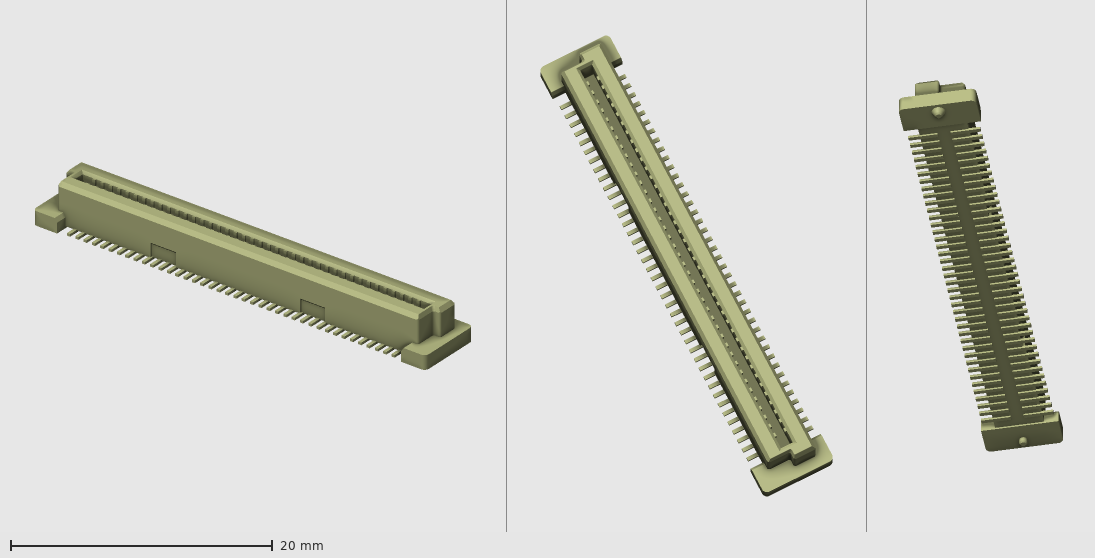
import cadquery as cq

LENGTH = 37.8
WIDTH = 6.0
HOUSING_TOP = 3.78

WING_LENGTH = 2.35
WING_HEIGHT = 1.3
WING_CORNER_RADIUS = 0.4
WING_BEVEL_HEIGHT = 0.35
WING_BEVEL_WIDTH = 0.23

REAR_LENGTH = 36.05
FRONT_LENGTH = 34.7
HOUSING_WIDTH = 3.8
HOUSING_BOTTOM = 0.15
HOUSING_CORNER_RADIUS = 0.23
STEP_RADIUS = 0.2
RIM_BEVEL_HEIGHT = 0.38
RIM_BEVEL_WIDTH = 0.25
STEP_BEVEL_WIDTH = 0.15

SLOT_LENGTH = 33.55
SLOT_WIDTH = 1.02
SLOT_FLOOR_LENGTH = 33.05
SLOT_FLOOR = 1.5
MOUTH_FLARE = 0.23

CONTACTS_PER_ROW = 40
ROW_SPAN = 31.22
CONTACT_WIDTH = 0.3
TAIL_THICKNESS = 0.23
TAIL_SPREAD = 5.6
BUMP_PROJECTION = 0.15
BUMP_HEIGHT = 0.53
PITCH = ROW_SPAN / (CONTACTS_PER_ROW - 1)

RECESS_OFFSET = 7.2
RECESS_WIDTH = 2.42
RECESS_DEPTH = 0.2
RECESS_TOP = 1.47
RECESS_SLOPE_HEIGHT = 0.2

PEG_OFFSET = 18.1
PEG_HEIGHT = 0.45
PEG_DIAMETER = 0.65
PEG_TIP_CHAMFER = 0.1
PEG_FLANGE_DIAMETER = 1.1
PEG_FLANGE_HEIGHT = 0.35


def make_wing(side):
    """Rounded end block; side is -1 for the -X end and +1 for the +X end."""
    center_x = side * (LENGTH - WING_LENGTH) / 2
    inner_x = side * (LENGTH / 2 - WING_LENGTH)
    outer_face = ">X" if side > 0 else "<X"
    wing = cq.Workplane("XY").center(center_x, 0).rect(WING_LENGTH, WIDTH).extrude(WING_HEIGHT)
    wing = wing.faces(outer_face).edges("|Z").fillet(WING_CORNER_RADIUS)
    bevel = (
        cq.Workplane("XZ")
        .polyline([
            (inner_x, WING_HEIGHT),
            (inner_x + side * WING_BEVEL_WIDTH, WING_HEIGHT),
            (inner_x, WING_HEIGHT - WING_BEVEL_HEIGHT),
        ])
        .close()
        .extrude(WIDTH / 2, both=True)
    )
    return wing.cut(bevel)


def housing_outline(end_inset, step_inset, wall_inset):
    """Corner points of the stepped outline, moved inward by the given amounts."""
    half_rear = REAR_LENGTH / 2 - end_inset
    half_front = FRONT_LENGTH / 2 - step_inset
    half_width = HOUSING_WIDTH / 2 - wall_inset
    return [
        (-half_front, -half_width),
        (half_front, -half_width),
        (half_front, step_inset),
        (half_rear, step_inset),
        (half_rear, half_width),
        (-half_rear, half_width),
        (-half_rear, step_inset),
        (-half_front, step_inset),
    ]


def vertical_edge(x, y):
    """Selector for the vertical housing edge nearest to (x, y)."""
    return cq.selectors.NearestToPointSelector((x, y, (HOUSING_TOP + HOUSING_BOTTOM) / 2))


def make_housing():
    """Stepped bar with rounded vertical edges and a bevelled rim whose corners are mitred."""
    base = housing_outline(0, 0, 0)
    top = housing_outline(RIM_BEVEL_WIDTH, STEP_BEVEL_WIDTH, RIM_BEVEL_WIDTH)
    rim_bottom = HOUSING_TOP - RIM_BEVEL_HEIGHT

    envelope = cq.Workplane("XY").workplane(offset=HOUSING_BOTTOM).polyline(base).close()
    envelope = envelope.extrude(HOUSING_TOP - HOUSING_BOTTOM)
    for x, y in base:
        radius = STEP_RADIUS if y == 0 else HOUSING_CORNER_RADIUS
        envelope = envelope.edges("|Z").edges(vertical_edge(x, y)).fillet(radius)

    wall = cq.Workplane("XY").workplane(offset=HOUSING_BOTTOM).polyline(base).close()
    wall = wall.extrude(rim_bottom - HOUSING_BOTTOM)
    rim = cq.Workplane("XY").workplane(offset=rim_bottom).polyline(base).close()
    rim = rim.workplane(offset=RIM_BEVEL_HEIGHT).polyline(top).close().loft(ruled=True)
    bevelled = wall.union(rim)
    inner_corners = cq.selectors.BoxSelector(
        (-FRONT_LENGTH / 2 - STEP_RADIUS, -STEP_RADIUS, HOUSING_BOTTOM),
        (FRONT_LENGTH / 2 + STEP_RADIUS, 2 * STEP_RADIUS, HOUSING_TOP),
    )
    bevelled = bevelled.edges("not #Z").edges(inner_corners).fillet(STEP_RADIUS)
    return bevelled.intersect(envelope)


def make_slot():
    """Volume removed for the mating slot, flared at the mouth."""
    mouth_bottom = HOUSING_TOP - MOUTH_FLARE
    cavity = (
        cq.Workplane("XZ")
        .polyline([
            (-SLOT_FLOOR_LENGTH / 2, SLOT_FLOOR),
            (SLOT_FLOOR_LENGTH / 2, SLOT_FLOOR),
            (SLOT_LENGTH / 2, mouth_bottom),
            (-SLOT_LENGTH / 2, mouth_bottom),
        ])
        .close()
        .extrude(SLOT_WIDTH / 2, both=True)
    )
    mouth = (
        cq.Workplane("XY")
        .workplane(offset=mouth_bottom)
        .rect(SLOT_LENGTH, SLOT_WIDTH)
        .workplane(offset=MOUTH_FLARE)
        .rect(SLOT_LENGTH + 2 * MOUTH_FLARE, SLOT_WIDTH + 2 * MOUTH_FLARE)
        .loft()
    )
    return cavity.union(mouth)


def make_recess(center_x):
    """Volume removed for one front recess, open at the bottom, with a sloping ceiling."""
    front = -HOUSING_WIDTH / 2
    back = front + RECESS_DEPTH
    return (
        cq.Workplane("YZ")
        .workplane(offset=center_x - RECESS_WIDTH / 2)
        .polyline([
            (front, 0),
            (back, 0),
            (back, RECESS_TOP - RECESS_SLOPE_HEIGHT),
            (front, RECESS_TOP),
        ])
        .close()
        .extrude(RECESS_WIDTH)
    )


def make_contact_pair():
    """Front and rear contacts at X = 0: solder tails below, bumps just under the flared mouth."""
    slot_wall = SLOT_WIDTH / 2
    tail_length = TAIL_SPREAD / 2 - slot_wall
    bump_bottom = HOUSING_TOP - MOUTH_FLARE - BUMP_HEIGHT
    tail = cq.Workplane("XY").box(CONTACT_WIDTH, tail_length, TAIL_THICKNESS, centered=(True, False, False))
    tail = tail.translate((0, slot_wall, 0))
    bump = cq.Workplane("XY").box(CONTACT_WIDTH, BUMP_PROJECTION, BUMP_HEIGHT, centered=(True, False, False))
    bump = bump.translate((0, slot_wall - BUMP_PROJECTION, bump_bottom))
    rear = [tail.val(), bump.val()]
    front = [piece.mirror("XZ") for piece in rear]
    return rear + front


def make_peg(center_x):
    """Round locating peg with a chamfered tip."""
    peg = cq.Workplane("XY").center(center_x, 0).circle(PEG_DIAMETER / 2).extrude(-PEG_HEIGHT)
    return peg.faces("<Z").chamfer(PEG_TIP_CHAMFER)


def make_peg_flange(center_x):
    """Conical collar that narrows downward to the peg."""
    return (
        cq.Workplane("XY")
        .center(center_x, 0)
        .circle(PEG_FLANGE_DIAMETER / 2)
        .workplane(offset=-PEG_FLANGE_HEIGHT)
        .circle(PEG_DIAMETER / 2)
        .loft()
    )


housing = make_housing().cut(make_slot())
for recess_x in (-RECESS_OFFSET, RECESS_OFFSET):
    housing = housing.cut(make_recess(recess_x))

contacts = []
for index in range(CONTACTS_PER_ROW):
    contact_x = index * PITCH - ROW_SPAN / 2
    for piece in make_contact_pair():
        contacts.append(piece.translate(cq.Vector(contact_x, 0, 0)))

body = housing.union(make_wing(-1)).union(make_wing(1))
body = body.union(make_peg(-PEG_OFFSET)).union(make_peg(PEG_OFFSET))
body = body.union(make_peg_flange(-PEG_OFFSET))

result = cq.Workplane("XY").newObject([body.val().fuse(*contacts)])